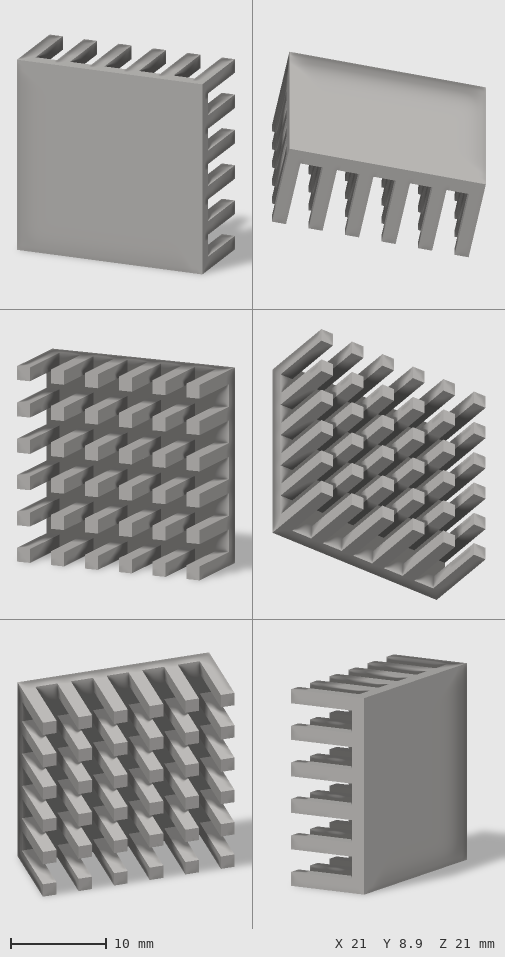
import cadquery as cq

side = 21.0
total_depth = 8.9
base_thickness = 1.5
pin_width = 1.5
pins_per_side = 6

pin_length = total_depth - base_thickness
pin_pitch = (side - pin_width) / (pins_per_side - 1)


def base_plate():
    return cq.Workplane("XY").box(side, base_thickness, side, centered=(True, False, True))


def add_pins(plate):
    return (
        plate.faces(">Y")
        .workplane(centerOption="CenterOfBoundBox")
        .rarray(pin_pitch, pin_pitch, pins_per_side, pins_per_side)
        .rect(pin_width, pin_width)
        .extrude(pin_length)
    )


result = add_pins(base_plate())